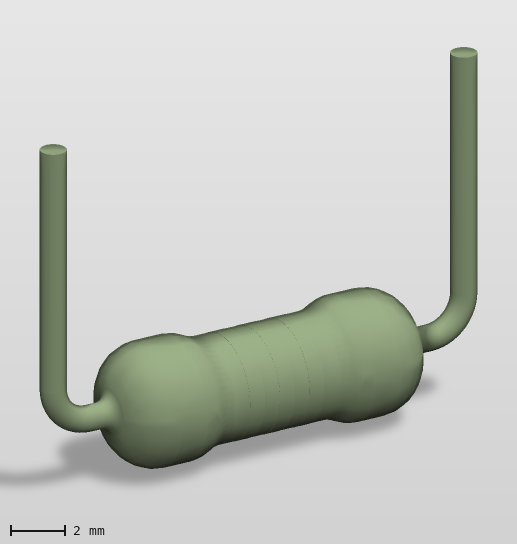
import cadquery as cq
import math

total_length = 18.5
total_height = 13.4
cap_radius = 4.8 / 2
core_radius = 4.09 / 2
band_radius = 4.1 / 2
wire_radius = 1.0 / 2
bend_radius = 1.5

segment_count = 7
band_count = segment_count // 2
core_half_length = 2.22
segment_width = 2 * core_half_length / segment_count

cap_start = 3.59
dome_start = 4.66
dome_radius = 1.66
neck_end = 6.83

lead_offset = total_length / 2 - wire_radius
lead_top = total_height - cap_radius
bend_start = lead_offset - bend_radius

shoulder_length = cap_start - core_half_length
shoulder_rise = cap_radius - core_radius
shoulder_arc_radius = (shoulder_length**2 + shoulder_rise**2) / (4 * shoulder_rise)
shoulder_mid = (
    (core_radius + cap_radius) / 2,
    (core_half_length + cap_start) / 2,
)

dome_center_radius = cap_radius - dome_radius
neck_run = neck_end - dome_start
neck_drop = dome_center_radius - wire_radius
neck_fillet = (neck_run**2 + neck_drop**2 - dome_radius**2) / (2 * (dome_radius + neck_drop))
neck_angle = math.atan2(neck_fillet - neck_drop, neck_run)


def on_circle(center, radius, angle):
    """Point (distance from axis, position along axis) at an angle from the axis."""
    return (center[0] + radius * math.sin(angle), center[1] + radius * math.cos(angle))


def make_half_body():
    """Revolve the +Y half of the body about the Y axis."""
    dome_center = (dome_center_radius, dome_start)
    fillet_center = (wire_radius + neck_fillet, neck_end)
    shoulder_angle = math.asin(shoulder_length / (2 * shoulder_arc_radius)) / 2
    core_arc_center = (core_radius + shoulder_arc_radius, core_half_length)
    cap_arc_center = (cap_radius - shoulder_arc_radius, cap_start)
    core_arc_mid = on_circle(core_arc_center, shoulder_arc_radius, shoulder_angle - math.pi / 2)
    cap_arc_mid = on_circle(cap_arc_center, shoulder_arc_radius, math.pi / 2 + shoulder_angle)
    dome_mid = on_circle(dome_center, dome_radius, (math.pi / 2 + neck_angle) / 2)
    dome_end = on_circle(dome_center, dome_radius, neck_angle)
    fillet_mid_angle = (neck_angle + math.pi + 3 * math.pi / 2) / 2
    fillet_mid = on_circle(fillet_center, neck_fillet, fillet_mid_angle)
    profile = (
        cq.Workplane("XY")
        .lineTo(core_radius, 0)
        .lineTo(core_radius, core_half_length)
        .threePointArc(core_arc_mid, shoulder_mid)
        .threePointArc(cap_arc_mid, (cap_radius, cap_start))
        .lineTo(cap_radius, dome_start)
        .threePointArc(dome_mid, dome_end)
        .threePointArc(fillet_mid, (wire_radius, neck_end))
        .lineTo(wire_radius, bend_start)
        .lineTo(0, bend_start)
        .close()
    )
    return profile.revolve(360, (0, 0, 0), (0, 1, 0))


def make_half_lead():
    """Bend and upright of the +Y lead."""
    bend = (
        cq.Workplane("XZ", origin=(0, bend_start, 0))
        .circle(wire_radius)
        .revolve(90, (-0.18, bend_radius, 0), (0.18, bend_radius, 0))
    )
    upright = (
        cq.Workplane("XY", origin=(0, lead_offset, bend_radius))
        .circle(wire_radius)
        .extrude(lead_top - bend_radius)
    )
    return bend.union(upright)


def make_band(center):
    """Slightly raised colour band around the core."""
    return (
        cq.Workplane("XZ", origin=(0, center + segment_width / 2, 0))
        .circle(band_radius)
        .extrude(segment_width)
    )


half = make_half_body().union(make_half_lead())
result = half.union(half.mirror("XZ"))
for index in range(band_count):
    band_position = (index - (band_count - 1) / 2) * 2 * segment_width
    result = result.union(make_band(band_position))